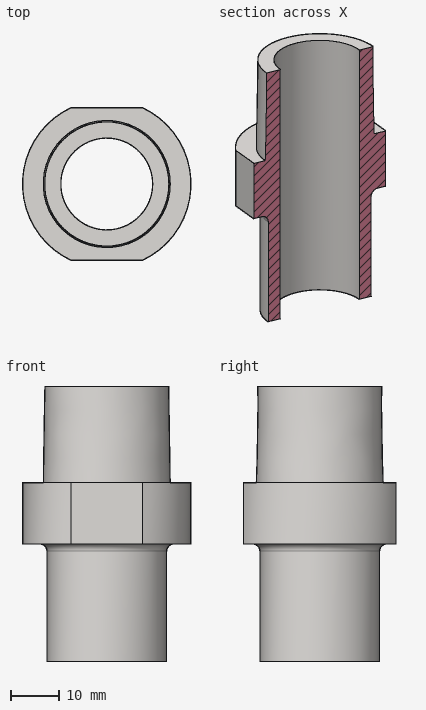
import cadquery as cq
import math

total_height = 57.15
bore_diameter = 19.05

spigot_radius = 24.9 / 2

collar_diameter = 35.05
across_flats = 31.8
collar_bottom = 24.4
collar_top = 37.15
collar_height = collar_top - collar_bottom

fillet_radius = 1.5

taper_base_radius = 26.4 / 2
taper_tip_radius = 25.8 / 2


def make_lower_spigot():
    """Plain cylinder with a quarter-round fillet running out into the collar."""
    fillet_start = collar_bottom - fillet_radius
    fillet_edge = spigot_radius + fillet_radius
    fillet_mid = (
        fillet_edge - fillet_radius * math.cos(math.pi / 4),
        fillet_start + fillet_radius * math.sin(math.pi / 4),
    )
    return (
        cq.Workplane("XZ")
        .lineTo(spigot_radius, 0)
        .lineTo(spigot_radius, fillet_start)
        .threePointArc(fillet_mid, (fillet_edge, collar_bottom))
        .lineTo(0, collar_bottom)
        .close()
        .revolve(360, (0, 0, 0), (0, 1, 0))
    )


def make_collar():
    """Round collar cut by flats on its -Y and +Y sides."""
    base = cq.Workplane("XY").workplane(offset=collar_bottom)
    disc = base.circle(collar_diameter / 2).extrude(collar_height)
    flats = base.rect(collar_diameter, across_flats).extrude(collar_height)
    return disc.intersect(flats)


def make_tapered_end():
    """Slightly conical end above the collar."""
    return (
        cq.Workplane("XY")
        .workplane(offset=collar_top)
        .circle(taper_base_radius)
        .workplane(offset=total_height - collar_top)
        .circle(taper_tip_radius)
        .loft(ruled=True)
    )


bore = cq.Workplane("XY").circle(bore_diameter / 2).extrude(total_height)
result = make_lower_spigot().union(make_collar()).union(make_tapered_end()).cut(bore)